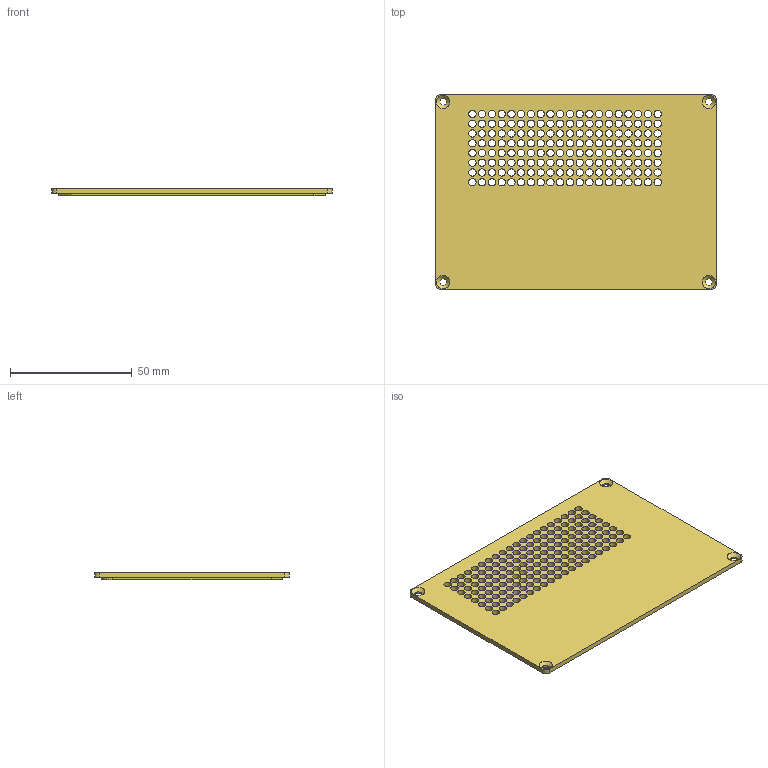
import cadquery as cq

plate_length = 115.0
plate_width = 80.0
plate_thickness = 2.0
plate_corner_radius = 2.0

pad_inset = 2.75
pad_thickness = 1.0
pad_corner_size = 4.7

screw_inset = 3.0
screw_hole_diameter = 2.9
countersink_diameter = 5.5
countersink_angle = 90.0

grille_columns = 20
grille_rows = 8
grille_pitch = 4.0
grille_hole_diameter = 3.0
grille_first_hole_x = 15.0
grille_first_hole_y = 8.0


def slab(length, width, thickness, bottom_z):
    """Flat rectangular slab centred on the Z axis."""
    return cq.Workplane("XY").workplane(offset=bottom_z).rect(length, width).extrude(thickness)


def make_plate():
    """Cover plate with four rounded corners."""
    plate = slab(plate_length, plate_width, plate_thickness, pad_thickness)
    return plate.edges("|Z").fillet(plate_corner_radius)


def make_pad():
    """Pad with bevelled corners on its -Y side and rounded corners on its +Y side."""
    pad = slab(plate_length - 2 * pad_inset, plate_width - 2 * pad_inset, pad_thickness, 0)
    pad = pad.edges("|Z and <Y").chamfer(pad_corner_size)
    return pad.edges("|Z and >Y").fillet(pad_corner_size)


def cut_screw_holes(body):
    """Countersunk through holes at the four plate corners."""
    spacing_x = plate_length - 2 * screw_inset
    spacing_y = plate_width - 2 * screw_inset
    return (
        body.faces(">Z")
        .workplane(origin=(0, 0, 0))
        .rect(spacing_x, spacing_y, forConstruction=True)
        .vertices()
        .cskHole(screw_hole_diameter, countersink_diameter, countersink_angle)
    )


def cut_grille(body):
    """Rectangular grid of ventilation holes through plate and pad."""
    first_x = -plate_length / 2 + grille_first_hole_x
    first_y = plate_width / 2 - grille_first_hole_y
    centres = [
        (first_x + column * grille_pitch, first_y - row * grille_pitch)
        for column in range(grille_columns)
        for row in range(grille_rows)
    ]
    return (
        body.faces(">Z")
        .workplane(origin=(0, 0, 0))
        .pushPoints(centres)
        .hole(grille_hole_diameter)
    )


result = cut_grille(cut_screw_holes(make_plate().union(make_pad())))